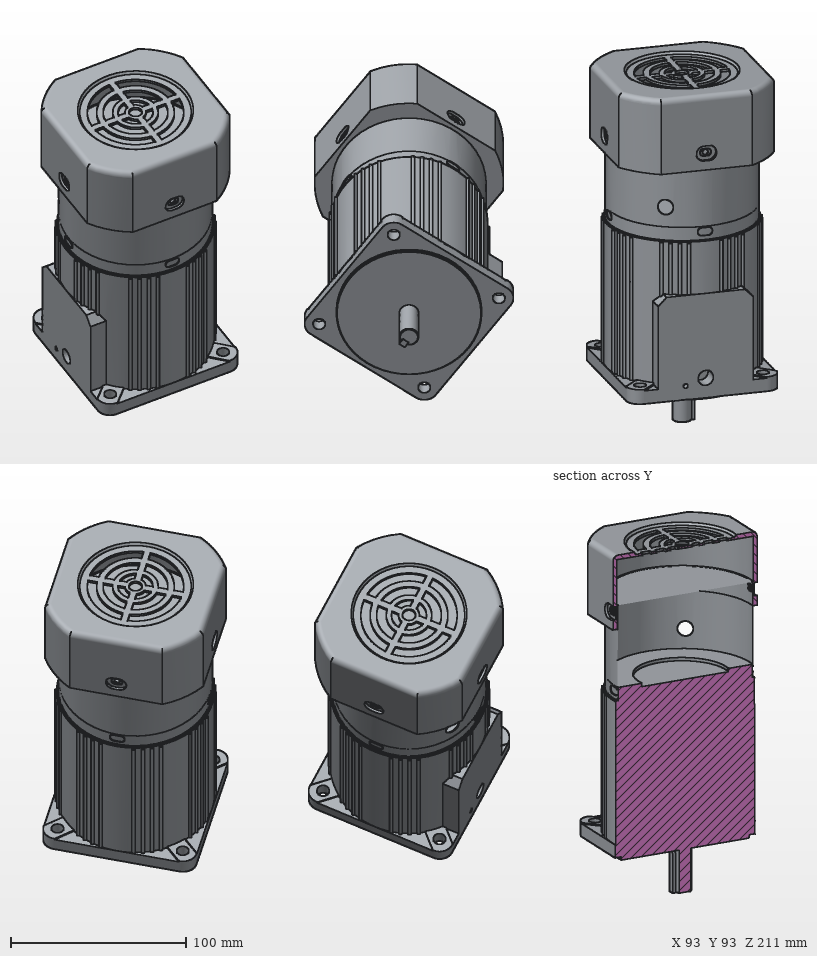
import cadquery as cq
REGISTER_HEIGHT = 2.0
SHAFT_LENGTH = 26.0
SHAFT_END = -REGISTER_HEIGHT - SHAFT_LENGTH
FLANGE_THICKNESS = 8.0
PAD_HEIGHT = 0.8
GEARHEAD_TOP = 95.0
SPIGOT_TOP = 103.0
TUBE_TOP = 153.0
COVER_BOTTOM = 138.0
COVER_TOP = 183.0

FLANGE_SIZE = 90.0
FLANGE_CORNER_RADIUS = 8.0
REGISTER_RADIUS = 41.5
REGISTER_CHAMFER = 0.5
BOLT_CIRCLE_RADIUS = 52.0
BOLT_COUNT = 4
BOLT_HOLE_DIAMETER = 7.0
PAD_WIDTH = 12.0
BARREL_RADIUS = FLANGE_SIZE / 2
RIM_HEIGHT = 1.0
RIM_CHAMFER = 0.4
RIB_GROUPS = 8
RIBS_PER_GROUP = 4
RIB_PITCH_ANGLE = 6.7
RIB_RADIUS = 1.0
SPIGOT_RECESS_RADIUS = 28.0
SPIGOT_RECESS_DEPTH = 2.0
BOX_WIDTH = 57.0
BOX_TOP = 63.0
BOX_CHAMFER = 5.0
BOX_PORT_DIAMETER = 9.0
BOX_PORT_HEIGHT = 12.0
BOX_PORT_DEPTH = 10.0
BOX_PIN_DIAMETER = 2.6
BOX_PIN_X = -12.0
BOX_PIN_HEIGHT = 8.3
BOX_PIN_DEPTH = 5.0

TUBE_RADIUS = 44.0
TUBE_WALL = 0.5
SLOT_LENGTH = 8.8
SLOT_HEIGHT = 4.8
SLOT_CENTRE_HEIGHT = 100.0
TUBE_PORT_DIAMETER = 9.0
TUBE_PORT_HEIGHT = 115.0
TUBE_PORT_ANGLE = 30.0

COVER_SIZE = 93.0
COVER_CORNER_RADIUS = 53.9
COVER_EDGE_RADIUS = 3.5
GRILLE_TOP_RADIUS = 33.0
GRILLE_FLOOR_RADIUS = 31.8
GRILLE_RECESS = 1.5
GRILLE_THICKNESS = 1.5
GRILLE_UNDERSIDE = COVER_TOP - GRILLE_RECESS - GRILLE_THICKNESS
GRILLE_SLOT_RADII = ((6.0, 10.0), (13.0, 18.5), (22.2, 27.5))
GRILLE_HUB_HOLE_RADIUS = 3.75
GRILLE_SPOKE_WIDTH = 4.0

FIXING_HEIGHT = 148.0
FIXING_RECESS_SIZE = (12.0, 9.0)
FIXING_RECESS_DEPTH = 1.8
FIXING_SLOT_SIZE = (6.6, 4.4)
FIXING_HOLE_DIAMETER = 3.3

SIDE_CUT_LENGTH = COVER_SIZE / 2

SHAFT_RADIUS = 5.5
SHAFT_CHAMFER = 0.5
KEY_WIDTH = 4.0
KEY_TOP_X = 7.0
KEY_HEIGHT = 4.0
KEY_LENGTH = 25.3

SIDE_ANGLES = (0, 90, 180, 270)
DIAGONAL_ANGLES = (45, 135)
Z_AXIS_START = (0, 0, 0)
Z_AXIS_END = (0, 0, 1)


def turned(shape, angle):
    """Copy of a shape turned about the motor axis."""
    return shape.rotate(Z_AXIS_START, Z_AXIS_END, angle)


def cylinder(radius, bottom, top):
    """Cylinder on the motor axis between two heights."""
    return cq.Workplane("XY").workplane(offset=bottom).circle(radius).extrude(top - bottom)


def front_plane(x, y, z):
    """Sketch plane that faces -Y; a negative extrusion goes into the part."""
    return cq.Workplane("XZ", origin=(x, y, z))


def barrel_ribs():
    """Groups of upright half-round ribs between the flange and the top rim."""
    ribs = cq.Workplane("XY")
    rib = (
        cq.Workplane("XY", origin=(BARREL_RADIUS, 0, 0))
        .circle(RIB_RADIUS)
        .extrude(GEARHEAD_TOP - RIM_HEIGHT)
    )
    group_pitch = 360 / RIB_GROUPS
    for group in range(RIB_GROUPS):
        group_start = (group + 0.5) * group_pitch - (RIBS_PER_GROUP - 1) / 2 * RIB_PITCH_ANGLE
        for index in range(RIBS_PER_GROUP):
            angle = group_start + index * RIB_PITCH_ANGLE
            ribs.add(turned(rib, angle))
    return ribs.combine()


def flange_block(height):
    """Square block with rounded corners."""
    block = cq.Workplane("XY").rect(FLANGE_SIZE, FLANGE_SIZE).extrude(height)
    return block.edges("|Z").fillet(FLANGE_CORNER_RADIUS)


def flange():
    """Square flange with raised diagonal pads around its bolt holes."""
    plate = flange_block(FLANGE_THICKNESS)
    pad_top = FLANGE_THICKNESS + PAD_HEIGHT
    outline = flange_block(pad_top)
    for angle in DIAGONAL_ANGLES:
        strip = cq.Workplane("XY").rect(2 * FLANGE_SIZE, PAD_WIDTH).extrude(pad_top)
        plate = plate.union(turned(strip, angle).intersect(outline))
    return plate


def bolt_holes():
    """Drills for the four corner bolts."""
    return (
        cq.Workplane("XY")
        .polarArray(BOLT_CIRCLE_RADIUS, DIAGONAL_ANGLES[0], 360, BOLT_COUNT)
        .circle(BOLT_HOLE_DIAMETER / 2)
        .extrude(FLANGE_THICKNESS + PAD_HEIGHT)
    )


def wire_box():
    """Box at the front of the barrel, flush with the flange, with chamfered top corners."""
    box = (
        cq.Workplane("XY")
        .rect(BOX_WIDTH, BARREL_RADIUS)
        .extrude(BOX_TOP)
        .translate((0, -BARREL_RADIUS / 2, 0))
    )
    return box.edges("|Y and >Z").chamfer(BOX_CHAMFER)


def make_key():
    """Key on the +X side of the shaft, with a rounded upper end and flush with the shaft end."""
    end_radius = KEY_WIDTH / 2
    round_start = SHAFT_END + KEY_LENGTH - end_radius
    return (
        cq.Workplane("YZ", origin=(KEY_TOP_X - KEY_HEIGHT, 0, 0))
        .moveTo(-end_radius, SHAFT_END)
        .lineTo(end_radius, SHAFT_END)
        .lineTo(end_radius, round_start)
        .threePointArc((0, round_start + end_radius), (-end_radius, round_start))
        .close()
        .extrude(KEY_HEIGHT)
    )


def make_gearhead():
    """Flange, ribbed barrel, spigot, register, wire box and keyed shaft as one body."""
    barrel = cylinder(BARREL_RADIUS, 0, GEARHEAD_TOP).faces(">Z").chamfer(RIM_CHAMFER)
    barrel = barrel.union(barrel_ribs())
    spigot = cylinder(TUBE_RADIUS - TUBE_WALL, 0, SPIGOT_TOP)
    register = cylinder(REGISTER_RADIUS, -REGISTER_HEIGHT, 0).faces("<Z").chamfer(REGISTER_CHAMFER)
    shaft = cylinder(SHAFT_RADIUS, SHAFT_END, -REGISTER_HEIGHT).faces("<Z").chamfer(SHAFT_CHAMFER)
    body = flange().union(barrel).union(spigot).union(register).union(wire_box()).union(shaft)
    body = body.cut(cylinder(SPIGOT_RECESS_RADIUS, SPIGOT_TOP - SPIGOT_RECESS_DEPTH, SPIGOT_TOP))
    port = front_plane(0, -BARREL_RADIUS, BOX_PORT_HEIGHT).circle(BOX_PORT_DIAMETER / 2)
    pin = front_plane(BOX_PIN_X, -BARREL_RADIUS, BOX_PIN_HEIGHT).circle(BOX_PIN_DIAMETER / 2)
    body = body.cut(port.extrude(-BOX_PORT_DEPTH)).cut(pin.extrude(-BOX_PIN_DEPTH))
    return body.cut(bolt_holes()).cut(make_key())


def make_tube():
    """Closed thin can over the spigot, with vent slots, screw holes and a wire port."""
    tube = cylinder(TUBE_RADIUS, GEARHEAD_TOP, TUBE_TOP)
    tube = tube.cut(cylinder(TUBE_RADIUS - TUBE_WALL, GEARHEAD_TOP, TUBE_TOP - TUBE_WALL))
    slot = front_plane(0, 0, SLOT_CENTRE_HEIGHT).slot2D(SLOT_LENGTH, SLOT_HEIGHT).extrude(SIDE_CUT_LENGTH)
    hole = front_plane(0, 0, FIXING_HEIGHT).circle(FIXING_HOLE_DIAMETER / 2).extrude(SIDE_CUT_LENGTH)
    for angle in SIDE_ANGLES:
        tube = tube.cut(turned(slot, angle)).cut(turned(hole, angle))
    port = front_plane(0, 0, TUBE_PORT_HEIGHT).circle(TUBE_PORT_DIAMETER / 2).extrude(SIDE_CUT_LENGTH)
    return tube.cut(turned(port, -TUBE_PORT_ANGLE))


def grille_openings():
    """Quarter-ring openings between four spokes, with a round hole at the hub."""
    bottom = GRILLE_UNDERSIDE
    rings = cq.Workplane("XY")
    for inner, outer in GRILLE_SLOT_RADII:
        rings = rings.add(cylinder(outer, bottom, COVER_TOP).cut(cylinder(inner, bottom, COVER_TOP)))
    openings = rings.combine()
    spoke = (
        cq.Workplane("XY")
        .workplane(offset=bottom)
        .rect(2 * GRILLE_TOP_RADIUS, GRILLE_SPOKE_WIDTH)
        .extrude(COVER_TOP - bottom)
    )
    openings = openings.cut(spoke).cut(turned(spoke, 90))
    return openings.add(cylinder(GRILLE_HUB_HOLE_RADIUS, bottom, COVER_TOP)).combine()


def make_cover():
    """Fan cover with a recessed grille on top and a screw recess on each side."""
    height = COVER_TOP - COVER_BOTTOM
    block = cq.Workplane("XY").workplane(offset=COVER_BOTTOM).rect(COVER_SIZE, COVER_SIZE).extrude(height)
    cover = block.intersect(cylinder(COVER_CORNER_RADIUS, COVER_BOTTOM, COVER_TOP))
    cover = cover.faces(">Z").edges().fillet(COVER_EDGE_RADIUS)
    cover = cover.cut(cylinder(TUBE_RADIUS, COVER_BOTTOM, GRILLE_UNDERSIDE))
    recess = (
        cq.Workplane("XY")
        .workplane(offset=COVER_TOP - GRILLE_RECESS)
        .circle(GRILLE_FLOOR_RADIUS)
        .workplane(offset=GRILLE_RECESS)
        .circle(GRILLE_TOP_RADIUS)
        .loft()
    )
    cover = cover.cut(recess).cut(grille_openings())
    side = COVER_SIZE / 2
    screw_recess = front_plane(0, -side, FIXING_HEIGHT).slot2D(*FIXING_RECESS_SIZE)
    screw_recess = screw_recess.extrude(-FIXING_RECESS_DEPTH)
    screw_slot = front_plane(0, -side, FIXING_HEIGHT).slot2D(*FIXING_SLOT_SIZE).extrude(-side)
    for angle in SIDE_ANGLES:
        cover = cover.cut(turned(screw_recess, angle)).cut(turned(screw_slot, angle))
    return cover


gearhead = make_gearhead()
key = make_key()
tube = make_tube()
cover = make_cover()
result = cq.Compound.makeCompound([gearhead.val(), key.val(), tube.val(), cover.val()])